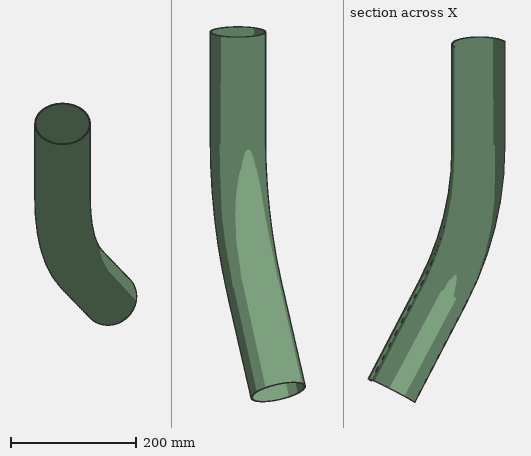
import cadquery as cq
import math

outer_diameter = 89.0
inner_diameter = 85.5
leg_length = 177.5
bend_radius = 457.5
bend_angle = 30

angle = math.radians(bend_angle)


def bend_point(turn):
    """Centreline point after turning by the given angle in radians."""
    return (bend_radius * (1 - math.cos(turn)), -bend_radius * math.sin(turn))


bend_middle = bend_point(angle / 2)
bend_end = bend_point(angle)
lower_end = (
    bend_end[0] + leg_length * math.sin(angle),
    bend_end[1] - leg_length * math.cos(angle),
)

centreline = (
    cq.Workplane("YZ")
    .moveTo(0, leg_length)
    .lineTo(0, 0)
    .threePointArc(bend_middle, bend_end)
    .lineTo(*lower_end)
)

result = (
    cq.Workplane("XY", origin=(0, 0, leg_length))
    .circle(outer_diameter / 2)
    .circle(inner_diameter / 2)
    .sweep(centreline)
)